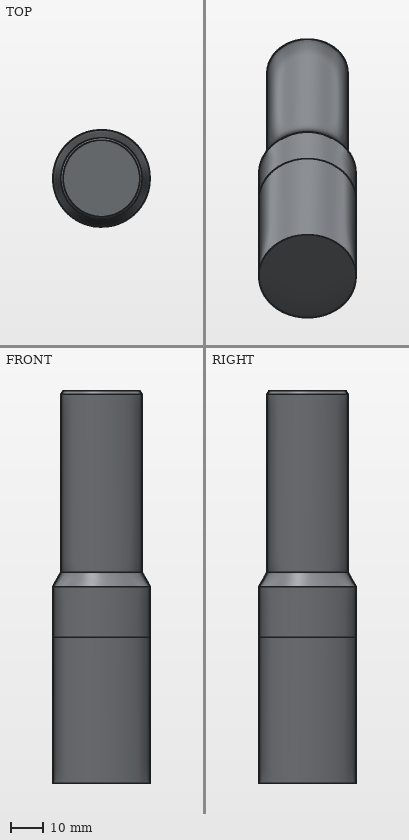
import cadquery as cq

total_height = 121.0
body_diameter = 30.0
shank_diameter = 25.0
base_height = 45.0
collar_height = 20.0
collar_taper_height = 4.4
top_chamfer_height = 1.2
top_chamfer_width = 0.7

body_radius = body_diameter / 2
shank_radius = shank_diameter / 2
collar_top = base_height + collar_height
taper_start = collar_top - collar_taper_height


def make_base():
    """Plain cylinder that forms the lower end."""
    return cq.Workplane("XY").circle(body_radius).extrude(base_height)


def make_holder():
    """Collar resting on the base, tapering up to a shank with a chamfered end."""
    half_section = [
        (0, base_height),
        (body_radius, base_height),
        (body_radius, taper_start),
        (shank_radius, collar_top),
        (shank_radius, total_height - top_chamfer_height),
        (shank_radius - top_chamfer_width, total_height),
        (0, total_height),
    ]
    return cq.Workplane("XZ").polyline(half_section).close().revolve(360, (0, 0, 0), (0, 1, 0))


base = make_base()
holder = make_holder()

result = cq.Compound.makeCompound([base.val(), holder.val()])